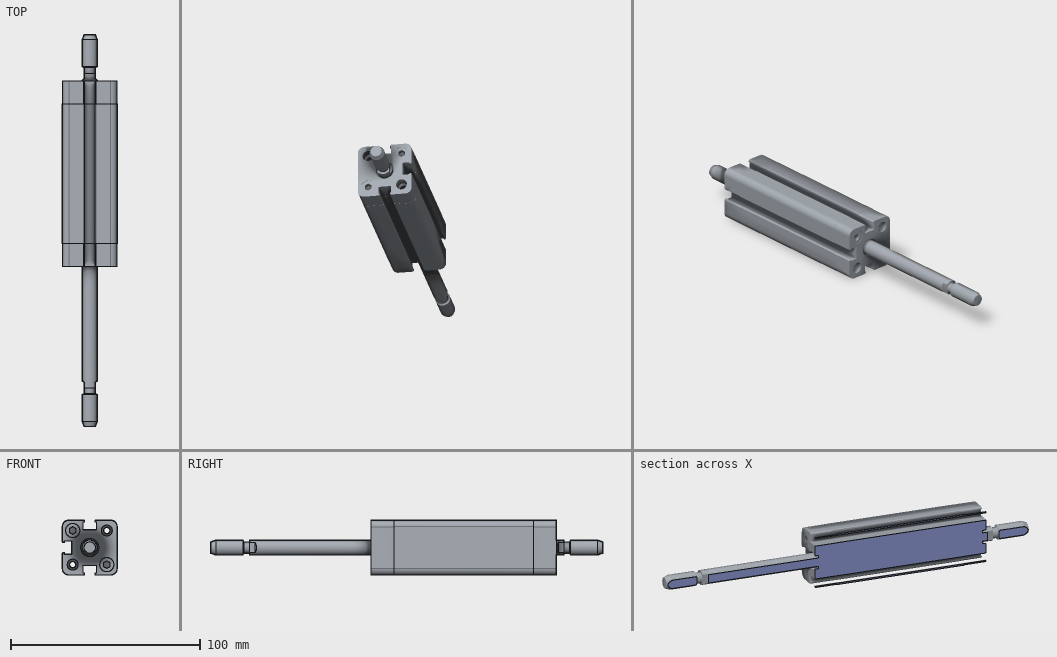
import cadquery as cq
import math

rod_length = 207.0
body_length = 98.0
back_stickout = 24.5
cap_length = 12.2

body_back = rod_length / 2 - back_stickout
body_front = body_back - body_length

tube_side = 29.05
cap_side = 28.95
corner_radius = 3.5

slot_mouth = 5.4
slot_width = 6.9
slot_depth = 5.0
slot_lip = 1.1
mouth_edge = 0.6
slot_angles = (0, 180, -90)
cut_margin = 1.0

hole_offset = 9.0
through_hole_diameter = 3.24
counterbore_diameter = 5.8
counterbore_depth = 5.0
screw_head_diameter = 7.5
screw_head_recess = 0.2
hex_across_corners = 4.04
hex_depth = 2.5
hex_sides = 6

rod_diameter = 8.0
tip_diameter = 6.0
neck_diameter = 6.0
tip_taper = 2.7
thread_end = 17.0
neck_start = 17.5
neck_end = 20.5
flat_end = 23.4
flat_runout = 0.8
across_flats = 6.0

bearing_bore_diameter = 9.6
bearing_bore_depth = 2.0


def block(side, y_start, y_end):
    """Square bar with rounded corners running along Y."""
    bar = cq.Workplane("XZ", origin=(0, y_start, 0)).rect(side, side).extrude(y_start - y_end)
    return bar.edges("|Y").fillet(corner_radius)


def cylinder(x, z, diameter, y_start, y_end):
    """Round bar along Y centred on (x, z)."""
    return cq.Workplane("XZ", origin=(x, y_start, z)).circle(diameter / 2).extrude(y_start - y_end)


def slot_outline(side, y_start, rounded_mouth):
    """Closed slot outline on the +Z side, with mouth edges either rounded or chamfered."""
    top = side / 2
    mouth = slot_mouth / 2
    recess = slot_width / 2
    entry = mouth + mouth_edge
    edge_bottom = top - mouth_edge
    lip_bottom = top - slot_lip
    floor = top - slot_depth
    arc_offset = mouth_edge * (1 - math.sqrt(0.5))
    arc_x = mouth + arc_offset
    arc_z = top - arc_offset

    outline = cq.Workplane("XZ", origin=(0, y_start, 0)).moveTo(-entry, top)
    outline = outline.lineTo(-entry, top + cut_margin)
    outline = outline.lineTo(entry, top + cut_margin).lineTo(entry, top)
    if rounded_mouth:
        outline = outline.threePointArc((arc_x, arc_z), (mouth, edge_bottom))
    else:
        outline = outline.lineTo(mouth, edge_bottom)
    outline = outline.lineTo(mouth, lip_bottom).lineTo(recess, lip_bottom).lineTo(recess, floor)
    outline = outline.lineTo(-recess, floor).lineTo(-recess, lip_bottom).lineTo(-mouth, lip_bottom)
    outline = outline.lineTo(-mouth, edge_bottom)
    if rounded_mouth:
        outline = outline.threePointArc((-arc_x, arc_z), (-entry, top))
    return outline.close()


def slotted_block(side, y_start, y_end, rounded_mouth):
    """Rounded bar with one slot on each of the +Z, -Z and -X sides."""
    bar = block(side, y_start, y_end)
    slot = slot_outline(side, y_start, rounded_mouth).extrude(y_start - y_end)
    for angle in slot_angles:
        bar = bar.cut(slot.rotate((0, 0, 0), (0, 1, 0), angle))
    return bar


def make_body():
    """Tube between two slightly smaller end caps."""
    tube_front = body_front + cap_length
    tube_back = body_back - cap_length
    tube = slotted_block(tube_side, tube_front, tube_back, rounded_mouth=True)
    front_cap = slotted_block(cap_side, body_front, tube_front, rounded_mouth=False)
    back_cap = slotted_block(cap_side, tube_back, body_back, rounded_mouth=False)
    return tube.union(front_cap).union(back_cap)


def cut_through_holes(body):
    """Through holes in two opposite corners, counterbored at both end faces."""
    for sign in (1, -1):
        x = z = sign * hole_offset
        body = body.cut(cylinder(x, z, through_hole_diameter, body_front, body_back))
        body = body.cut(cylinder(x, z, counterbore_diameter, body_front, body_front + counterbore_depth))
        body = body.cut(cylinder(x, z, counterbore_diameter, body_back - counterbore_depth, body_back))
    return body


def cut_screw_heads(body):
    """Sunk socket-head screws in the other two corners, at both end faces."""
    for sign in (1, -1):
        x = -sign * hole_offset
        z = sign * hole_offset
        for face, inward in ((body_front, 1), (body_back, -1)):
            head_face = face + inward * screw_head_recess
            body = body.cut(cylinder(x, z, screw_head_diameter, face, head_face))
            socket = cq.Workplane("XZ", origin=(x, head_face, z)).transformed(rotate=(0, 0, 90))
            body = body.cut(socket.polygon(hex_sides, hex_across_corners).extrude(-inward * hex_depth))
    return body


def cut_bearing_bores(body):
    """Clearance around the rod at both end faces."""
    body = body.cut(cylinder(0, 0, bearing_bore_diameter, body_front, body_front + bearing_bore_depth))
    return body.cut(cylinder(0, 0, bearing_bore_diameter, body_back - bearing_bore_depth, body_back))


def rod_half():
    """Half of the rod from mid-length to the tip at -Y, with threaded end, neck and two flats."""
    tip = -rod_length / 2
    outline = [
        (0, tip),
        (tip_diameter / 2, tip),
        (rod_diameter / 2, tip + tip_taper),
        (rod_diameter / 2, tip + thread_end),
        (neck_diameter / 2, tip + neck_start),
        (neck_diameter / 2, tip + neck_end),
        (rod_diameter / 2, tip + neck_end),
        (rod_diameter / 2, 0),
        (0, 0),
    ]
    half = cq.Workplane("XY").polyline(outline).close().revolve(360, (0, 0, 0), (0, 1, 0))
    flat_outline = [
        (across_flats / 2, tip + neck_end),
        (rod_diameter / 2, tip + neck_end),
        (rod_diameter / 2, tip + flat_end + flat_runout),
        (across_flats / 2, tip + flat_end),
    ]
    flat = cq.Workplane("XY").polyline(flat_outline).close().extrude(rod_diameter / 2, both=True)
    return half.cut(flat).cut(flat.mirror("YZ"))


def make_rod():
    """Rod with the same end at both tips."""
    front_half = rod_half()
    return front_half.union(front_half.mirror("XZ"))


body = cut_through_holes(make_body())
body = cut_screw_heads(body)
body = cut_bearing_bores(body)
result = body.union(make_rod())